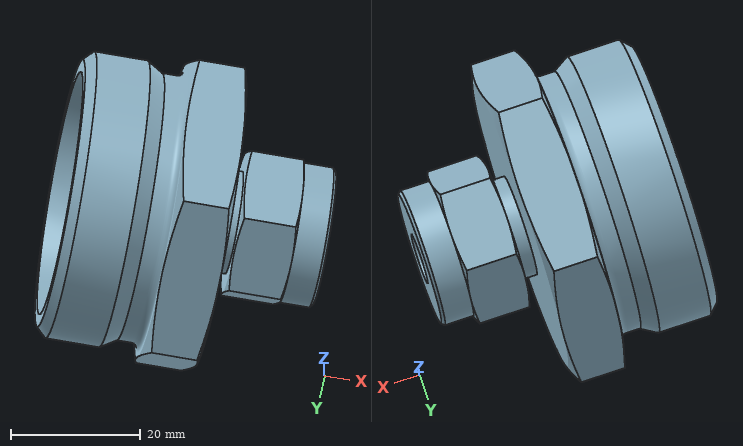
import cadquery as cq
import math


thread_end = 9.95
neck_start = 12.5
neck_end = 14.7
body_hex_start = 16.0
body_hex_end = 25.0
nut_start = 27.35
hex_width = body_hex_end - body_hex_start
nut_collar_start = nut_start + hex_width
total_length = 41.5

body_hex_corners = 53.1
body_hex_flats = body_hex_corners * math.cos(math.pi / 6)
nut_flats = 22.0
thread_radius = 22.5
neck_radius = 21.0
thread_chamfer = thread_radius - neck_radius
spigot_radius = 8.0
collar_chamfer = 0.5
hex_chamfer_angle = math.radians(15)

mouth_radius = 19.0
tube_radius = 17.65
chamber_radius = 15.0
bore_radius = 4.0
seat_half_angle = math.radians(12)
seat_depth = (mouth_radius - tube_radius) / math.tan(seat_half_angle)
tube_stop_depth = 10.5
chamber_depth = 18.0
funnel_half_angle = math.radians(60)
funnel_depth = (chamber_radius - bore_radius) / math.tan(funnel_half_angle)


def revolve_about_x(profile):
    """Turn a closed (x, radius) profile about the X axis."""
    return profile.close().revolve(360, (0, 0, 0), (1, 0, 0))


def chamfered_hexagon(start, flats):
    """Hexagon along X with flats up and down, its corners turned to a shallow cone at both ends."""
    flat_radius = flats / 2
    corner_radius = flat_radius / math.cos(math.pi / 6)
    cone_length = (corner_radius - flat_radius) * math.tan(hex_chamfer_angle)
    end = start + hex_width
    prism = cq.Workplane("YZ", origin=(start, 0, 0)).polygon(6, 2 * corner_radius).extrude(hex_width)
    envelope = revolve_about_x(
        cq.Workplane("XY")
        .moveTo(start, 0)
        .lineTo(start, flat_radius)
        .lineTo(start + cone_length, corner_radius)
        .lineTo(end - cone_length, corner_radius)
        .lineTo(end, flat_radius)
        .lineTo(end, 0)
    )
    return prism.intersect(envelope)


def threaded_socket():
    """Threaded end with a run-out groove and a concave fillet up to the large hexagon."""
    fillet_radius = body_hex_start - neck_end
    fillet_turn = fillet_radius * math.sqrt(0.5)
    profile = (
        cq.Workplane("XY")
        .lineTo(0, thread_radius - thread_chamfer)
        .lineTo(thread_chamfer, thread_radius)
        .lineTo(thread_end, thread_radius)
        .lineTo(neck_start, neck_radius)
        .lineTo(neck_end, neck_radius)
        .threePointArc(
            (neck_end + fillet_turn, neck_radius + fillet_radius - fillet_turn),
            (body_hex_start, neck_radius + fillet_radius),
        )
        .lineTo(body_hex_start, 0)
    )
    return revolve_about_x(profile)


def spigot():
    """Plain cylinder joining the large hexagon to the nut."""
    spigot_length = nut_start - body_hex_end
    return cq.Workplane("YZ", origin=(body_hex_end, 0, 0)).circle(spigot_radius).extrude(spigot_length)


def nut_collar():
    """Round end of the nut, as wide as the nut across its flats."""
    collar_length = total_length - nut_collar_start
    collar = cq.Workplane("YZ", origin=(nut_collar_start, 0, 0)).circle(nut_flats / 2).extrude(collar_length)
    return collar.faces(">X").chamfer(collar_chamfer)


def passage():
    """Tapered seat, tube socket, chamber, funnel and through bore."""
    profile = (
        cq.Workplane("XY")
        .lineTo(0, mouth_radius)
        .lineTo(seat_depth, tube_radius)
        .lineTo(tube_stop_depth, tube_radius)
        .lineTo(tube_stop_depth, chamber_radius)
        .lineTo(chamber_depth, chamber_radius)
        .lineTo(chamber_depth + funnel_depth, bore_radius)
        .lineTo(total_length, bore_radius)
        .lineTo(total_length, 0)
    )
    return revolve_about_x(profile)


result = (
    threaded_socket()
    .union(chamfered_hexagon(body_hex_start, body_hex_flats))
    .union(spigot())
    .union(chamfered_hexagon(nut_start, nut_flats))
    .union(nut_collar())
    .cut(passage())
)